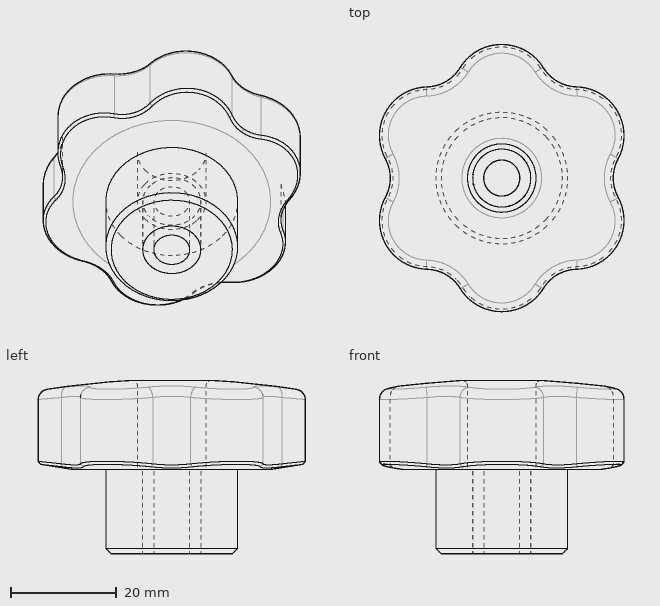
import cadquery as cq
import math

LOBE_COUNT = 6
LOBE_PITCH = 360.0 / LOBE_COUNT
FIRST_LOBE_ANGLE = 90.0
TIP_RADIUS = 25.35
LOBE_RADIUS = 9.3
VALLEY_RADIUS = 7.5
LOBE_CENTRE_DISTANCE = TIP_RADIUS - LOBE_RADIUS

STEM_DIAMETER = 25.0
STEM_LENGTH = 15.95
STEM_CHAMFER = 1.0

TOTAL_HEIGHT = 32.9
DOME_RADIUS = 149.55
HEAD_TOP_FILLET = 2.0

UNDERSIDE_FLAT_RADIUS = 18.75
UNDERSIDE_RISE = 1.05
HEAD_BOTTOM_CHAMFER = 0.5

HEAD_BORE_DIAMETER = 13.0
HEAD_BORE_FILLET = 1.0
BUSH_DIAMETER = 11.0
BUSH_BORE_DIAMETER = 6.8

BLANK_MARGIN = 0.5


def polar(radius, degrees):
    angle = math.radians(degrees)
    return (radius * math.cos(angle), radius * math.sin(angle))


def valley_centre_distance():
    """Distance from the axis at which a valley arc is tangent to the lobes beside it."""
    half_pitch = math.radians(LOBE_PITCH / 2)
    along = LOBE_CENTRE_DISTANCE * math.cos(half_pitch)
    across = LOBE_CENTRE_DISTANCE * math.sin(half_pitch)
    return along + math.sqrt((LOBE_RADIUS + VALLEY_RADIUS) ** 2 - across**2)


def tangent_point(lobe_angle, valley_angle):
    """Point where a lobe arc meets a neighbouring valley arc, on the line between their centres."""
    lobe_x, lobe_y = polar(LOBE_CENTRE_DISTANCE, lobe_angle)
    valley_x, valley_y = polar(valley_centre_distance(), valley_angle)
    share = LOBE_RADIUS / (LOBE_RADIUS + VALLEY_RADIUS)
    return (lobe_x + share * (valley_x - lobe_x), lobe_y + share * (valley_y - lobe_y))


def head_outline():
    half_pitch = LOBE_PITCH / 2
    valley_bottom = valley_centre_distance() - VALLEY_RADIUS
    outline = cq.Workplane("XY").moveTo(*tangent_point(FIRST_LOBE_ANGLE, FIRST_LOBE_ANGLE - half_pitch))
    for index in range(LOBE_COUNT):
        lobe = FIRST_LOBE_ANGLE + index * LOBE_PITCH
        valley = lobe + half_pitch
        next_lobe = lobe + LOBE_PITCH
        outline = outline.threePointArc(polar(TIP_RADIUS, lobe), tangent_point(lobe, valley))
        outline = outline.threePointArc(polar(valley_bottom, valley), tangent_point(next_lobe, valley))
    return outline.close()


def turned_blank():
    """Ring with the head bore, and with the flat disc and cone of the underside."""
    bore_radius = HEAD_BORE_DIAMETER / 2
    blank_radius = TIP_RADIUS + BLANK_MARGIN
    blank_top = TOTAL_HEIGHT + BLANK_MARGIN
    cone_slope = UNDERSIDE_RISE / (TIP_RADIUS - UNDERSIDE_FLAT_RADIUS)
    blank_rise = cone_slope * (blank_radius - UNDERSIDE_FLAT_RADIUS)
    return (
        cq.Workplane("XZ")
        .moveTo(bore_radius, STEM_LENGTH)
        .lineTo(UNDERSIDE_FLAT_RADIUS, STEM_LENGTH)
        .lineTo(blank_radius, STEM_LENGTH + blank_rise)
        .lineTo(blank_radius, blank_top)
        .lineTo(bore_radius, blank_top)
        .close()
        .revolve(360, (0, 0, 0), (0, 1, 0))
    )


def dome():
    """Sphere whose surface is at the total height where the fillet of the head bore starts."""
    fillet_start_radius = HEAD_BORE_DIAMETER / 2 + HEAD_BORE_FILLET
    centre_height = TOTAL_HEIGHT - math.sqrt(DOME_RADIUS**2 - fillet_start_radius**2)
    sphere = cq.Workplane("XY").sphere(DOME_RADIUS, direct=(-1, 0, 0))
    return sphere.translate((0, 0, centre_height))


def make_head():
    prism = head_outline().extrude(TOTAL_HEIGHT + BLANK_MARGIN)
    head = prism.intersect(turned_blank()).intersect(dome())
    head = head.faces("%SPHERE").edges(">Z").fillet(HEAD_BORE_FILLET)
    head = head.faces("%SPHERE").edges("%BSPLINE").fillet(HEAD_TOP_FILLET)
    return head.faces("%CONE").edges("%BSPLINE").chamfer(HEAD_BOTTOM_CHAMFER)


def make_stem():
    """Stem of the knob, with a through hole that fits the bush."""
    stem = cq.Workplane("XY").circle(STEM_DIAMETER / 2).extrude(STEM_LENGTH)
    stem = stem.faces("<Z").edges().chamfer(STEM_CHAMFER)
    return stem.faces(">Z").workplane().hole(BUSH_DIAMETER)


def make_knob():
    """Head and stem in one piece."""
    return make_head().union(make_stem())


def make_bush():
    """Sleeve as long as the stem, flush with the floor of the head bore."""
    return (
        cq.Workplane("XY")
        .circle(BUSH_DIAMETER / 2)
        .circle(BUSH_BORE_DIAMETER / 2)
        .extrude(STEM_LENGTH)
    )


knob = make_knob()
bush = make_bush()

result = cq.Compound.makeCompound([*knob.solids().vals(), bush.val()])